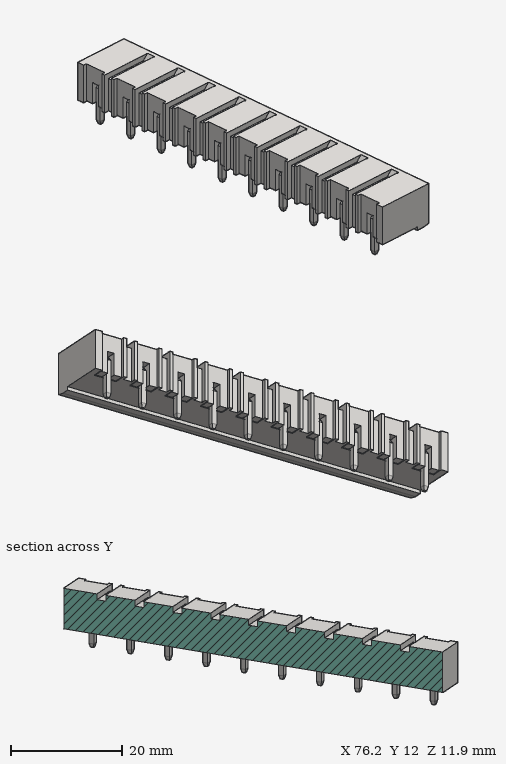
import cadquery as cq

POLES = 10
PITCH = 7.62
LENGTH = POLES * PITCH
DEPTH = 12.0
TOTAL_HEIGHT = 11.9
PIN_PROJECTION = 4.1
HOUSING_HEIGHT = TOTAL_HEIGHT - PIN_PROJECTION

RAIL_DROP = 0.7
RAIL_DEPTH = 3.0
RAIL_BEVEL_DEPTH = 1.5
RAIL_BEVEL_DROP = 0.3

SLOT_WIDTH = 1.7
SLOT_FLOOR_DROP = 1.1
SLOT_REAR_MARGIN = 0.9
SLOT_RAMP_LENGTH = SLOT_FLOOR_DROP
FRONT_NOTCH_DEPTH = 1.0

RECESS_WIDTH = 4.6
RECESS_DEPTH = 0.7
UNDERCUT_HEIGHT = 0.15

PIN_WIDTH = 1.0
PIN_THICKNESS = 1.1
PIN_CENTRE_FROM_FRONT = 1.95
PIN_TOP_BELOW_HOUSING_TOP = 3.3
PIN_TOP = HOUSING_HEIGHT - PIN_TOP_BELOW_HOUSING_TOP
PIN_BEND_BEVEL = 1.2
PIN_TIP_LENGTH = 0.8
PIN_TIP_SIZE = 0.6
POCKET_WIDTH = 1.4
POCKET_DEPTH = PIN_CENTRE_FROM_FRONT + PIN_THICKNESS / 2
UNDERCUT_DEPTH = POCKET_DEPTH


def extrude_side_profile(points, width, x_centre):
    """Extrude a closed (Y, Z) outline symmetrically about a plane of constant X."""
    profile = cq.Workplane("YZ", origin=(x_centre, 0, 0)).polyline(points).close()
    return profile.extrude(width / 2, both=True)


def make_housing():
    """Full-length block with the bevelled foot rail along its rear edge."""
    outline = [
        (0, 0),
        (0, HOUSING_HEIGHT),
        (DEPTH, HOUSING_HEIGHT),
        (DEPTH, RAIL_BEVEL_DROP - RAIL_DROP),
        (DEPTH - RAIL_BEVEL_DEPTH, -RAIL_DROP),
        (DEPTH - RAIL_DEPTH, -RAIL_DROP),
        (DEPTH - RAIL_DEPTH, 0),
    ]
    return extrude_side_profile(outline, LENGTH, LENGTH / 2)


def make_slot(x_centre):
    """Shallow top slot with a ramped rear end and a full-height notch at the front."""
    floor = HOUSING_HEIGHT - SLOT_FLOOR_DROP
    ramp_top = DEPTH - SLOT_REAR_MARGIN
    outline = [
        (0, 0),
        (FRONT_NOTCH_DEPTH, 0),
        (FRONT_NOTCH_DEPTH, floor),
        (ramp_top - SLOT_RAMP_LENGTH, floor),
        (ramp_top, HOUSING_HEIGHT),
        (0, HOUSING_HEIGHT),
    ]
    return extrude_side_profile(outline, SLOT_WIDTH, x_centre)


def make_front_box(x_centre, width, depth, height):
    """Box rising from the underside and reaching back from the housing front."""
    box = cq.Workplane("XY").box(width, depth, height, centered=(True, False, False))
    return box.translate((x_centre, 0, 0))


def make_pin(x_centre):
    """Rectangular pin with a bevelled bend at its top and a tapered tip."""
    front = PIN_CENTRE_FROM_FRONT - PIN_THICKNESS / 2
    rear = PIN_CENTRE_FROM_FRONT + PIN_THICKNESS / 2
    shank_bottom = PIN_TIP_LENGTH - PIN_PROJECTION
    outline = [
        (front, shank_bottom),
        (front, PIN_TOP - PIN_BEND_BEVEL),
        (rear, PIN_TOP),
        (rear, shank_bottom),
    ]
    shank = extrude_side_profile(outline, PIN_WIDTH, x_centre)
    tip = (
        cq.Workplane("XY", origin=(x_centre, PIN_CENTRE_FROM_FRONT, shank_bottom))
        .rect(PIN_WIDTH, PIN_THICKNESS)
        .workplane(offset=-PIN_TIP_LENGTH)
        .rect(PIN_TIP_SIZE, PIN_TIP_SIZE)
        .loft()
    )
    return shank.union(tip)


result = make_housing()

for boundary in range(1, POLES):
    result = result.cut(make_slot(boundary * PITCH))

for pole in range(POLES):
    pole_x = (pole + 0.5) * PITCH
    result = result.cut(make_front_box(pole_x, RECESS_WIDTH, RECESS_DEPTH, HOUSING_HEIGHT))
    result = result.cut(make_front_box(pole_x, RECESS_WIDTH, UNDERCUT_DEPTH, UNDERCUT_HEIGHT))
    result = result.cut(make_front_box(pole_x, POCKET_WIDTH, POCKET_DEPTH, PIN_TOP))
    result = result.union(make_pin(pole_x))